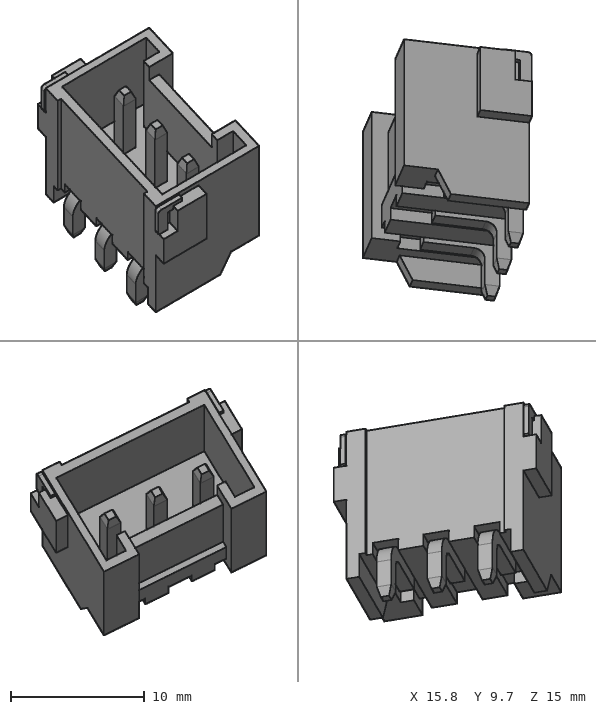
import cadquery as cq
import math


overall_width = 15.84
ear_width = 1.0
body_width = overall_width - 2 * ear_width
body_depth = 9.6
body_height = 11.0
half_body = body_width / 2
side_wall = 0.62
front_wall = 1.06
cavity_depth = 8.0

panel_width = 10.87
panel_recess = 0.32

tower_wall = 0.75
tower_inner_x = 3.93
tower_lip = 0.71
tower_front_y = body_depth - 2.2
low_wall_outer_y = body_depth - 1.28
low_wall_drop = 1.6
ledge_outer_y = body_depth - 0.78

leg_width = 1.0
leg_bottom = 13.0
leg_back_top_y = body_depth - 2.6
leg_back_bottom_y = body_depth - 3.6

ear_depth = 3.98
ear_top = 0.5
ear_bottom = 6.0
notch_depth = 1.3
notch_bottom = 3.0

protrusion = 0.1
clip_gap = 0.06
clip_thickness = 0.38
clip_top = 0.13
clip_arm_bottom = 0.89
clip_back_y = 2.12
clip_leg_back_y = 0.8
clip_outer_radius = 0.32
clip_inner_radius = 0.11
clip_bevel = 0.13

pin_pitch = 3.96
pin_positions = [-pin_pitch, 0.0, pin_pitch]
pin_size = 1.14
pin_top = 1.24
pin_bottom = 15.0
pin_taper_length = 0.8
pin_tip_size = 0.65
pin_y = 5.18
pin_bend_radius = 2.0

slot_width = 2.0
slot_top = 10.0


def block(x0, x1, y0, y1, z0, z1):
    """Box spanning the given coordinate limits."""
    return cq.Workplane("XY").box(x1 - x0, y1 - y0, z1 - z0, centered=False).translate((x0, y0, z0))


def mirrored(solid):
    """The solid joined with its mirror image across the centre plane."""
    return solid.union(solid.mirror("YZ"))


def side_profile(points, x0, width):
    """Closed YZ polygon extruded along X from x0."""
    return cq.Workplane("YZ").polyline(points).close().extrude(width).translate((x0, 0, 0))


def make_shell():
    shell = block(-half_body, half_body, 0, body_depth, -body_height, 0)

    cavity_half = half_body - side_wall
    shell = shell.cut(block(-cavity_half, cavity_half, front_wall, tower_front_y, -cavity_depth, 0))
    pocket_x = tower_inner_x + tower_lip
    pocket_back_y = body_depth - tower_wall
    pocket = block(pocket_x, cavity_half, tower_front_y, pocket_back_y, -cavity_depth, 0)
    shell = shell.cut(mirrored(pocket))

    openings = [
        (tower_front_y, low_wall_outer_y, -low_wall_drop),
        (low_wall_outer_y, ledge_outer_y, -cavity_depth),
        (ledge_outer_y, body_depth, -body_height),
    ]
    for y0, y1, floor_z in openings:
        shell = shell.cut(block(-tower_inner_x, tower_inner_x, y0, y1, floor_z, 0))

    return shell.cut(block(-panel_width / 2, panel_width / 2, 0, panel_recess, -body_height, 0))


def cut_slots(body):
    for x in pin_positions:
        x0 = x - slot_width / 2
        x1 = x + slot_width / 2
        body = body.cut(block(x0, x1, 0, tower_front_y, -body_height, -slot_top))
        back_x0 = max(x0, -tower_inner_x)
        back_x1 = min(x1, tower_inner_x)
        body = body.cut(block(back_x0, back_x1, tower_front_y, body_depth, -body_height, -slot_top))
    return body


def make_leg():
    outline = [
        (0, -body_height),
        (leg_back_top_y, -body_height),
        (leg_back_bottom_y, -leg_bottom),
        (0, -leg_bottom),
    ]
    return side_profile(outline, half_body - leg_width, leg_width)


def make_ear():
    outline = [
        (notch_depth, -ear_top),
        (ear_depth, -ear_top),
        (ear_depth, -ear_bottom),
        (0, -ear_bottom),
        (0, -notch_bottom),
        (notch_depth, -notch_bottom),
    ]
    return side_profile(outline, half_body, ear_width)


def make_clip():
    outline = [
        (-protrusion, -clip_top),
        (clip_back_y, -clip_top),
        (clip_back_y, -clip_arm_bottom),
        (clip_leg_back_y, -clip_arm_bottom),
        (clip_leg_back_y, -notch_bottom),
        (-protrusion, -notch_bottom),
    ]
    clip = side_profile(outline, half_body + clip_gap, clip_thickness)

    def edge_at(y, z):
        return cq.selectors.NearestToPointSelector((half_body + clip_gap + clip_thickness / 2, y, z))

    clip = clip.edges(edge_at(-protrusion, -clip_top)).fillet(clip_outer_radius)
    clip = clip.edges(edge_at(clip_leg_back_y, -clip_arm_bottom)).fillet(clip_inner_radius)
    return clip.edges(edge_at(-protrusion, -notch_bottom)).chamfer(clip_bevel)


def pin_tip(y, base_z, tip_z):
    """Square tip tapering from the pin section at base_z to a small flat at tip_z."""
    return (
        cq.Workplane("XY", origin=(0, y, base_z))
        .rect(pin_size, pin_size)
        .workplane(offset=tip_z - base_z)
        .rect(pin_tip_size, pin_tip_size)
        .loft(ruled=True)
    )


def make_pin():
    front_y = -protrusion
    leg_y = front_y + pin_size / 2
    bend_y = front_y + pin_bend_radius
    run_top_z = -slot_top
    bend_z = run_top_z - pin_bend_radius
    inner_radius = pin_bend_radius - pin_size
    half_bend = math.cos(math.radians(45))
    post_front_y = pin_y - pin_size / 2
    post_back_y = pin_y + pin_size / 2
    shoulder_z = -pin_top - pin_taper_length
    leg_end_z = -pin_bottom + pin_taper_length

    def bend_middle(radius):
        """Halfway point of a bend arc of the given radius."""
        return bend_y - radius * half_bend, bend_z + radius * half_bend

    pin = (
        cq.Workplane("YZ")
        .moveTo(front_y, leg_end_z)
        .lineTo(front_y, bend_z)
        .threePointArc(bend_middle(pin_bend_radius), (bend_y, run_top_z))
        .lineTo(post_front_y, run_top_z)
        .lineTo(post_front_y, shoulder_z)
        .lineTo(post_back_y, shoulder_z)
        .lineTo(post_back_y, run_top_z - pin_size)
        .lineTo(bend_y, run_top_z - pin_size)
        .threePointArc(bend_middle(inner_radius), (front_y + pin_size, bend_z))
        .lineTo(front_y + pin_size, leg_end_z)
        .close()
        .extrude(pin_size / 2, both=True)
    )
    pin = pin.union(pin_tip(pin_y, shoulder_z, -pin_top))
    return pin.union(pin_tip(leg_y, leg_end_z, -pin_bottom))


result = cut_slots(make_shell())
for side_feature in (make_leg(), make_ear(), make_clip()):
    result = result.union(mirrored(side_feature))
for pin_x in pin_positions:
    result = result.union(make_pin().translate((pin_x, 0, 0)))